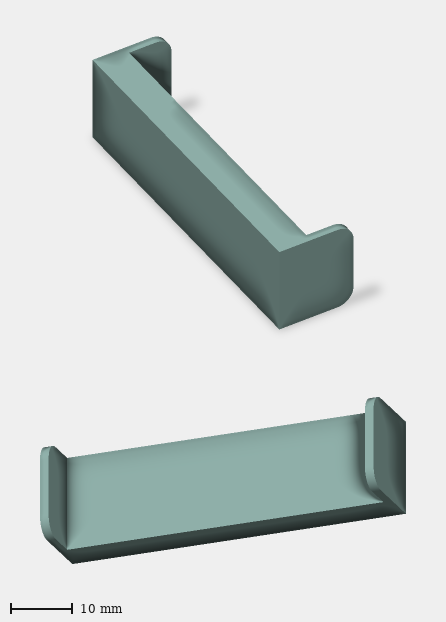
import cadquery as cq

length = 58.0
depth = 14.0
height = 16.0

bar_thickness = 6.0
plate_thickness = 1.5
corner_radius = 3.0


def rounded_block():
    """Full-size block with its top and bottom rear edges rounded."""
    block = cq.Workplane("XY").box(length, depth, height)
    return block.edges("|X and >Y").fillet(corner_radius)


def rear_opening():
    """Space behind the bar, between the end plates, open at the top, bottom and rear."""
    opening_length = length - 2 * plate_thickness
    opening_depth = depth - bar_thickness
    opening = cq.Workplane("XY").box(opening_length, opening_depth, height)
    return opening.translate((0, (depth - opening_depth) / 2, 0))


result = rounded_block().cut(rear_opening())